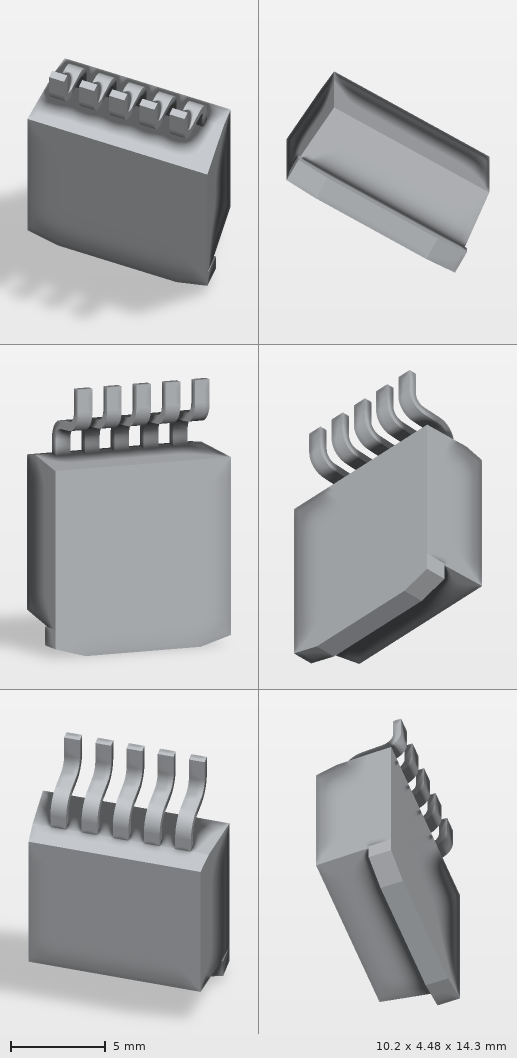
import cadquery as cq
import math


overall_height = 14.35

tab_width = 10.22
tab_thickness = 1.27
tab_exposed_height = 1.51
tab_end_width = 6.71
tab_corner_height = 0.50
neck_width = 6.51
neck_top = 3.05
pad_width = 7.60
pad_top = 7.69

housing_depth = 4.40
housing_front_width = tab_width
housing_back_width = 9.42
housing_front_top = 10.07
housing_ridge_top = 10.42
housing_ridge_depth = 3.13
housing_back_top = 10.23
housing_back_bottom = 1.88

lead_count = 5
lead_pitch = 1.708
lead_width = 0.86
lead_thickness = 0.46
lead_bend_radius = 0.65
lead_slope = math.radians(3.8)
lead_foot_standoff = 0.08
lead_back = 3.15
lead_root = 9.5
lower_bend_start = 11.25


def make_tab():
    """Stepped plate, symmetric about X = 0, with its free corners cut off."""
    half_outline = [
        (0, 0),
        (tab_end_width / 2, 0),
        (tab_width / 2, tab_corner_height),
        (tab_width / 2, tab_exposed_height),
        (neck_width / 2, tab_exposed_height),
        (neck_width / 2, neck_top),
        (pad_width / 2, neck_top),
        (pad_width / 2, pad_top),
        (0, pad_top),
    ]
    half = cq.Workplane("XZ").polyline(half_outline).close().extrude(-tab_thickness)
    return half.union(half.mirror("YZ"))


def make_moulding():
    """Side profile extruded across X, trimmed to sides that taper toward the back."""
    profile = [
        (0, tab_exposed_height),
        (0, housing_front_top),
        (housing_ridge_depth, housing_ridge_top),
        (housing_depth, housing_back_top),
        (housing_depth, housing_back_bottom),
        (tab_thickness, tab_exposed_height),
    ]
    block = cq.Workplane("YZ").polyline(profile).close().extrude(tab_width / 2, both=True)
    plan = [
        (-housing_front_width / 2, 0),
        (housing_front_width / 2, 0),
        (housing_back_width / 2, housing_depth),
        (-housing_back_width / 2, housing_depth),
    ]
    taper = cq.Workplane("XY").polyline(plan).close().extrude(overall_height)
    return block.intersect(taper)


def make_lead(x_center):
    """S-bent strip, swept along its centreline from inside the housing up to the foot."""
    radius = lead_bend_radius + lead_thickness / 2
    root_y = lead_back - lead_thickness / 2
    foot_y = lead_thickness / 2 - lead_foot_standoff
    lower_center_y = root_y - radius
    upper_center_y = foot_y + radius

    bend_gap = lower_center_y - upper_center_y
    middle_length = (bend_gap + 2 * radius * math.sin(lead_slope)) / math.cos(lead_slope)
    upper_bend_end = (
        lower_bend_start
        + 2 * radius * math.cos(lead_slope)
        + middle_length * math.sin(lead_slope)
    )

    def on_lower_bend(angle):
        return (lower_center_y + radius * math.cos(angle), lower_bend_start + radius * math.sin(angle))

    def on_upper_bend(angle):
        return (upper_center_y - radius * math.cos(angle), upper_bend_end - radius * math.sin(angle))

    bend_angle = math.pi / 2 - lead_slope
    centreline = (
        cq.Workplane("YZ", origin=(x_center, 0, 0))
        .moveTo(root_y, lead_root)
        .lineTo(root_y, lower_bend_start)
        .threePointArc(on_lower_bend(bend_angle / 2), on_lower_bend(bend_angle))
        .lineTo(*on_upper_bend(bend_angle))
        .threePointArc(on_upper_bend(bend_angle / 2), (foot_y, upper_bend_end))
        .lineTo(foot_y, overall_height)
    )
    section = cq.Workplane("XY", origin=(x_center, root_y, lead_root)).rect(lead_width, lead_thickness)
    return section.sweep(centreline)


def make_housing(tab):
    """Moulding with the tab's recess, joined to the row of leads."""
    housing = make_moulding().cut(tab)
    for index in range(lead_count):
        x_center = (index - (lead_count - 1) / 2) * lead_pitch
        housing = housing.union(make_lead(x_center))
    return housing


tab = make_tab()
housing = make_housing(tab)

result = cq.Compound.makeCompound([housing.solids().val(), tab.solids().val()])